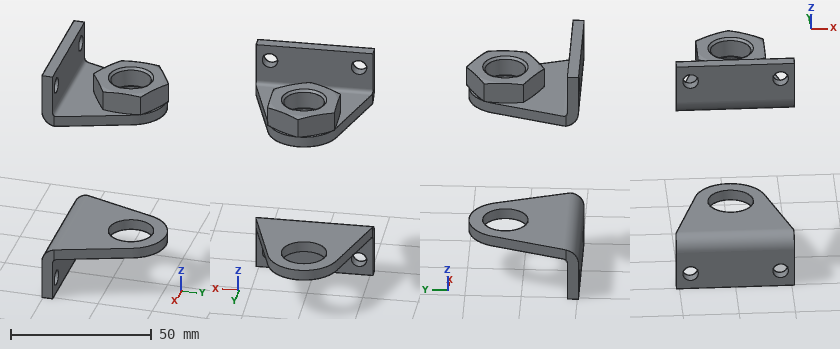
import cadquery as cq
import math

overall_height = 90.0

bracket_width = 42.0
sheet = 4.0
flange_height = 20.0
eye_y = 27.0
eye_radius = 13.0
eye_bore = 16.1
inner_bend_radius = 1.5
outer_bend_radius = inner_bend_radius + sheet
taper_start_y = 4.5
mount_hole_diameter = 5.5
mount_hole_spacing = 32.0
mount_hole_edge = 6.0

nut_across_flats = 24.0
nut_height = 8.0
nut_bore = 14.4
nut_bore_mouth = 16.1
nut_face_diameter = 23.8
nut_corner_drop = 0.45

plate_length = eye_y + eye_radius
bracket_base_z = overall_height / 2 - flange_height


def make_bent_sheet():
    """L-shaped bent strip: plate on Z = 0, flange rising at Y = 0."""
    return (
        cq.Workplane("YZ")
        .moveTo(plate_length, 0)
        .lineTo(outer_bend_radius, 0)
        .radiusArc((0, outer_bend_radius), outer_bend_radius)
        .lineTo(0, flange_height)
        .lineTo(sheet, flange_height)
        .lineTo(sheet, outer_bend_radius)
        .radiusArc((outer_bend_radius, sheet), -inner_bend_radius)
        .lineTo(plate_length, sheet)
        .close()
        .extrude(bracket_width / 2, both=True)
    )


def make_plan_outline():
    """Plan shape: full-width front, then sides tapering tangent to the round eye."""
    half_width = bracket_width / 2
    taper_rise = eye_y - taper_start_y
    corner_distance = math.hypot(half_width, taper_rise)
    tangent_angle = math.acos(eye_radius / corner_distance) - math.atan2(taper_rise, half_width)
    tangent_x = eye_radius * math.cos(tangent_angle)
    tangent_y = eye_y + eye_radius * math.sin(tangent_angle)
    return (
        cq.Workplane("XY")
        .moveTo(-half_width, 0)
        .lineTo(half_width, 0)
        .lineTo(half_width, taper_start_y)
        .lineTo(tangent_x, tangent_y)
        .threePointArc((0, plate_length), (-tangent_x, tangent_y))
        .lineTo(-half_width, taper_start_y)
        .close()
        .extrude(flange_height)
    )


def make_bracket():
    eye_hole = cq.Workplane("XY").center(0, eye_y).circle(eye_bore / 2).extrude(sheet)
    mount_hole_z = flange_height - mount_hole_edge
    mount_holes = (
        cq.Workplane("XZ")
        .pushPoints([(side * mount_hole_spacing / 2, mount_hole_z) for side in (-1, 1)])
        .circle(mount_hole_diameter / 2)
        .extrude(-sheet)
    )
    bracket = make_bent_sheet().intersect(make_plan_outline())
    return bracket.cut(eye_hole).cut(mount_holes).translate((0, 0, bracket_base_z))


def make_nut():
    """Hexagon nut, corners bevelled at both ends, corners pointing along Y."""
    corner_radius = nut_across_flats / math.sqrt(3)
    face_radius = nut_face_diameter / 2
    bore_radius = nut_bore / 2
    mouth_radius = nut_bore_mouth / 2
    mouth_depth = mouth_radius - bore_radius

    hexagon = (
        cq.Workplane("XY")
        .polygon(6, 2 * corner_radius)
        .extrude(nut_height)
        .rotate((0, 0, 0), (0, 0, 1), 30)
    )
    turned_shape = (
        cq.Workplane("XZ")
        .polyline([
            (mouth_radius, 0),
            (face_radius, 0),
            (corner_radius, nut_corner_drop),
            (corner_radius, nut_height - nut_corner_drop),
            (face_radius, nut_height),
            (mouth_radius, nut_height),
            (bore_radius, nut_height - mouth_depth),
            (bore_radius, mouth_depth),
        ])
        .close()
        .revolve(360, (0, 0, 0), (0, 1, 0))
    )
    return hexagon.intersect(turned_shape).translate((0, eye_y, bracket_base_z + sheet))


brackets = [make_bracket().val()]
brackets.append(brackets[0].mirror("XY"))
nut = make_nut()

result = cq.Compound.makeCompound([*brackets, nut.val()])